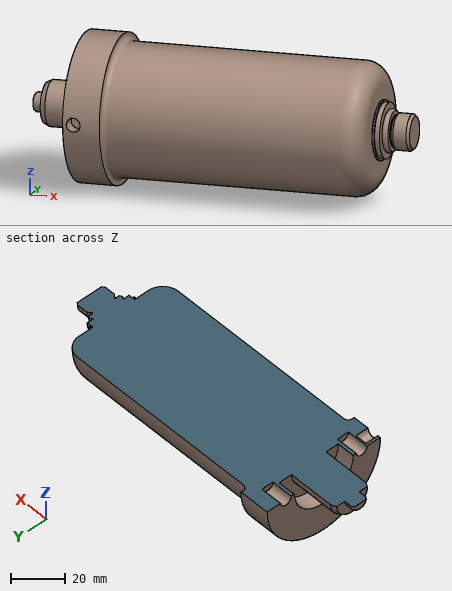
import cadquery as cq

flange_radius = 57.15 / 2
flange_length = 14.3
body_radius = 25.4
neck_fillet = 2.2
dome_end = 114.3
dome_fillet = 7.9

recess_radius = 14.75
recess_depth = 8.1

shaft_radius = 8.8
shaft_end = -15.4
shaft_taper_length = 2.1
shaft_taper_height = 1.0
tip_radius = 3.75
tip_end = -20.0
tip_fillet = 1.5

hole_radius = 2.65
face_hole_offset = 19.05
face_hole_depth = 10.0
side_hole_x = 4.1
side_hole_depth = 6.0

washer_radius = 11.4
washer_start = 114.7
washer_end = 115.4
collar_radius = 10.6
collar_end = 117.3
ring_edge_radius = 7.6
ring_crown_radius = 8.35
ring_end = 119.6
groove_radius = 5.7
groove_end = 119.85
land_radius = 6.1
land_end = 120.3
stem_radius = 7.0
stem_end = 127.5
stem_inner_chamfer_length = 1.0
stem_outer_chamfer_length = 1.1
stem_outer_chamfer_height = 0.9


def turned(outline):
    """Close an XY outline along the X axis and revolve it about that axis."""
    return outline.close().revolve(360, (0, 0, 0), (1, 0, 0))


def cylinder(start, end, radius):
    """Solid cylinder along X from start to end."""
    return cq.Workplane("YZ", origin=(start, 0, 0)).circle(radius).extrude(end - start)


def make_body():
    """Flange and domed cylinder, with a fillet in the neck between them."""
    neck_radius = body_radius + neck_fillet
    dome_start = dome_end - dome_fillet
    profile = (
        cq.Workplane("XY")
        .lineTo(0, flange_radius)
        .lineTo(flange_length, flange_radius)
        .lineTo(flange_length, neck_radius)
        .radiusArc((flange_length + neck_fillet, body_radius), -neck_fillet)
        .lineTo(dome_start, body_radius)
        .radiusArc((dome_end, body_radius - dome_fillet), dome_fillet)
        .lineTo(dome_end, 0)
    )
    return turned(profile)


def make_shaft():
    """Stepped shaft rising from the recess floor, with a tapered shoulder and a rounded tip."""
    shaft = turned(
        cq.Workplane("XY")
        .moveTo(recess_depth, 0)
        .lineTo(recess_depth, shaft_radius)
        .lineTo(shaft_end + shaft_taper_length, shaft_radius)
        .lineTo(shaft_end, shaft_radius - shaft_taper_height)
        .lineTo(shaft_end, 0)
    )
    tip = cylinder(tip_end, shaft_end, tip_radius).faces("<X").edges().fillet(tip_fillet)
    return shaft.union(tip)


def make_valve():
    """Stepped valve on the domed end: collar with a washer, crowned ring, groove, land and stem."""
    ring_middle = (collar_end + ring_end) / 2
    profile = (
        cq.Workplane("XY")
        .moveTo(dome_end, 0)
        .lineTo(dome_end, collar_radius)
        .lineTo(washer_start, collar_radius)
        .lineTo(washer_start, washer_radius)
        .lineTo(washer_end, washer_radius)
        .lineTo(washer_end, collar_radius)
        .lineTo(collar_end, collar_radius)
        .lineTo(collar_end, ring_edge_radius)
        .threePointArc((ring_middle, ring_crown_radius), (ring_end, ring_edge_radius))
        .lineTo(ring_end, groove_radius)
        .lineTo(groove_end, groove_radius)
        .lineTo(groove_end, land_radius)
        .lineTo(land_end, land_radius)
        .lineTo(land_end + stem_inner_chamfer_length, stem_radius)
        .lineTo(stem_end - stem_outer_chamfer_length, stem_radius)
        .lineTo(stem_end, stem_radius - stem_outer_chamfer_height)
        .lineTo(stem_end, 0)
    )
    return turned(profile)


def make_face_holes():
    """Pair of blind holes in the flange face, either side of the recess."""
    return (
        cq.Workplane("YZ")
        .pushPoints([(-face_hole_offset, 0), (face_hole_offset, 0)])
        .circle(hole_radius)
        .extrude(face_hole_depth)
    )


def make_side_hole():
    """Blind radial hole from the -Y side of the flange."""
    return (
        cq.Workplane("XZ", origin=(side_hole_x, side_hole_depth - flange_radius, 0))
        .circle(hole_radius)
        .extrude(side_hole_depth)
    )


recess = cylinder(0, recess_depth, recess_radius)
result = (
    make_body()
    .cut(recess)
    .cut(make_face_holes())
    .cut(make_side_hole())
    .union(make_shaft())
    .union(make_valve())
)